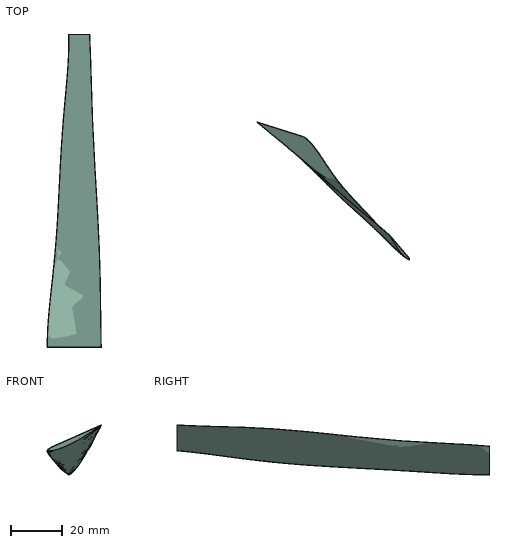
import cadquery as cq
import math

INCH = 25.4
BLADE_LENGTH = 4.75 * INCH

SECTIONS = [
    (0.0 * INCH, 23.02, 23.65, -0.22, 9.99, 0.0),
    (1.0 * INCH, 22.18, 31.4, 1.57, 6.82, 0.0),
    (2.0 * INCH, 20.14, 38.2, 3.69, 4.16, 0.01),
    (3.0 * INCH, 17.31, 41.3, 5.06, 2.58, 0.04),
    (4.0 * INCH, 15.07, 48.7, 7.12, 0.93, 0.0),
    (BLADE_LENGTH, 13.71, 51.8, 7.93, 0.26, 0.0),
]

TAIL_THICKNESS = 0.002
CUP_POSITION = 0.82
FLAT_FACE = [
    (1.0, 0.0),
    (CUP_POSITION, 0.0),
    (0.60, 0.0),
    (0.30, 0.0),
    (0.15, 0.001),
    (0.05, 0.009),
    (0.0125, 0.019),
]
NOSE = (0.0, 0.030)
CURVED_FACE = [
    (0.0125, 0.041),
    (0.05, 0.057),
    (0.15, 0.078),
    (0.30, 0.088),
    (0.60, 0.071),
    (CUP_POSITION, 0.037),
    (1.0, TAIL_THICKNESS),
]


def cup_offset(along, cup):
    """Depth added by the cup: grows from the nose to CUP_POSITION, then falls back to zero at the tail."""
    if along <= CUP_POSITION:
        return cup * along / CUP_POSITION
    return cup * (1.0 - along) / (1.0 - CUP_POSITION)


def blade_section(distance, chord, pitch, nose_x, nose_z, cup):
    """Closed airfoil wire: one curve from tail around the nose to tail, closed by a thin tail edge."""
    cos_pitch = math.cos(math.radians(pitch))
    sin_pitch = math.sin(math.radians(pitch))
    outline = []
    for along_fraction, depth_fraction in FLAT_FACE + [NOSE] + CURVED_FACE:
        along = chord * along_fraction
        depth = chord * (depth_fraction + cup_offset(along_fraction, cup))
        x = nose_x + along * cos_pitch + depth * sin_pitch
        z = nose_z + along * sin_pitch - depth * cos_pitch
        outline.append(cq.Vector(x, distance, z))
    airfoil = cq.Edge.makeSpline(outline)
    tail = cq.Edge.makeLine(outline[-1], outline[0])
    return cq.Wire.assembleEdges([airfoil, tail])


section_wires = [blade_section(*section) for section in SECTIONS]
blade = cq.Solid.makeLoft(section_wires)

result = cq.Workplane("XY").newObject([blade])